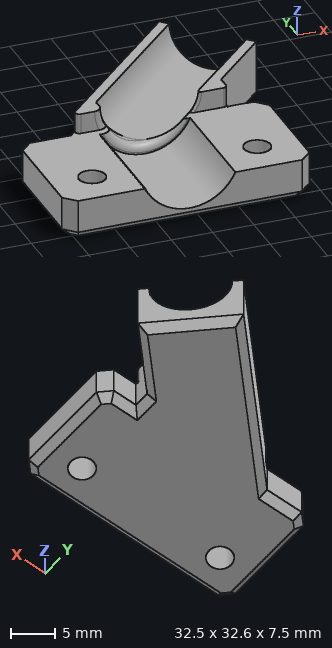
import cadquery as cq
import math

plate_width = 30.0
plate_depth = 15.0
plate_height = 5.0
total_height = 7.5
corner_cut = 1.4
bottom_chamfer = 1.0

bore_radius = 6.0
bore_depth = 14.0
throat_radius = 4.72
flare_radius = 1.0

tube_angle = 45.0
tube_width = 12.0
pivot_offset = 0.1
tube_length = 18.7

ear_left = 7.13
ear_right = 25.4
ear_rounding = 0.5
tube_edge_rounding = 0.25

hole_diameter = 3.2
hole_spacing = 20.0
hole_from_front = 4.82

center_x = plate_width / 2
pivot_y = plate_depth + pivot_offset
angle = math.radians(tube_angle)
far = 2 * (plate_width + plate_depth)


def tube_point(along, left):
    """Plan point given along the tube axis and to its left, from the pivot."""
    return (
        center_x + along * math.cos(angle) - left * math.sin(angle),
        pivot_y + along * math.sin(angle) + left * math.cos(angle),
    )


def make_layers():
    """Lower layer up to the plate top, chamfered underneath, and the tube layer above it."""
    left_end = tube_point(tube_length, tube_width / 2)
    right_end = tube_point(tube_length, -tube_width / 2)
    slope = math.tan(angle)
    tube_left_foot = left_end[0] - (left_end[1] - plate_depth) / slope
    ear_top = right_end[1] - (right_end[0] - ear_right) * slope
    outline = [
        (corner_cut, 0),
        (plate_width - corner_cut, 0),
        (plate_width, corner_cut),
        (plate_width, plate_depth - corner_cut),
        (plate_width - corner_cut, plate_depth),
        (ear_right, plate_depth),
        (ear_right, ear_top),
        right_end,
        left_end,
        (tube_left_foot, plate_depth),
        (corner_cut, plate_depth),
        (0, plate_depth - corner_cut),
        (0, corner_cut),
    ]
    solid = cq.Workplane("XY").polyline(outline).close().extrude(total_height)
    solid = solid.faces("<Z").edges().chamfer(bottom_chamfer)

    ears = (
        cq.Workplane("XY")
        .box(ear_right - ear_left, far, total_height, centered=False)
        .edges("|Z and <Y")
        .fillet(ear_rounding)
        .translate((ear_left, plate_depth, plate_height))
    )
    tube_side = (
        cq.Workplane("XY")
        .workplane(offset=plate_height)
        .moveTo(ear_right - ear_rounding, plate_depth + ear_rounding)
        .lineTo(far, plate_depth + ear_rounding)
        .lineTo(far, far)
        .lineTo(ear_right - ear_rounding, far)
        .close()
        .extrude(total_height)
    )
    upper_zone = ears.union(tube_side)
    lower_zone = cq.Workplane("XY").box(far, far, 2 * plate_height)
    return solid.intersect(lower_zone), solid.intersect(upper_zone)


def miter_zone():
    """Space on the tube side of the plane halfway between the throat and tube axes."""
    miter_angle = 90 - (90 - tube_angle) / 2
    return (
        cq.Workplane("XY")
        .box(far, far, far, centered=(False, True, True))
        .rotate((0, 0, 0), (0, 0, 1), miter_angle)
        .translate((center_x, pivot_y, 0))
    )


def flared_passage(mouth_y):
    """Rounded mouth opening at mouth_y, and the throat behind it up to the tube."""
    flare_end = mouth_y + flare_radius
    bend = flare_radius * math.sqrt(0.5)
    mouth_radius = throat_radius + flare_radius
    mouth = (
        cq.Workplane("XY")
        .moveTo(0, mouth_y)
        .lineTo(mouth_radius, mouth_y)
        .threePointArc((mouth_radius - bend, flare_end - bend), (throat_radius, flare_end))
        .lineTo(0, flare_end)
        .close()
        .revolve(360, (0, 0), (0, 1))
        .translate((center_x, 0, total_height))
    )
    throat = (
        cq.Workplane("XZ", origin=(center_x, mouth_y, total_height))
        .circle(throat_radius)
        .extrude(-throat_radius)
        .cut(miter_zone())
    )
    return mouth, throat


def tube_bore():
    """Angled bore, trimmed where it meets the throat."""
    start = tube_point(-throat_radius, 0)
    direction = cq.Vector(math.cos(angle), math.sin(angle), 0)
    bore = cq.Solid.makeCylinder(
        throat_radius, far, cq.Vector(start[0], start[1], total_height), direction
    )
    return cq.Workplane(obj=bore).intersect(miter_zone())


def plate_bore():
    """Straight bore entering from the front of the plate."""
    return (
        cq.Workplane("XZ", origin=(center_x, 0, total_height))
        .circle(bore_radius)
        .extrude(-bore_depth)
    )


def screw_holes():
    """Two vertical holes through the plate, one on each side of the bore."""
    return (
        cq.Workplane("XY")
        .pushPoints([(center_x + side * hole_spacing / 2, hole_from_front) for side in (-1, 1)])
        .circle(hole_diameter / 2)
        .extrude(total_height)
    )


def cut_passages(layer, mouth_y):
    """Cut the flared throat and the angled bore out of one layer."""
    for tool in flared_passage(mouth_y):
        layer = layer.cut(tool)
    return layer.cut(tube_bore())


def round_tube_edge(layer):
    """Blunt the curved edge between the tube bore and the front face of the right ear."""
    edge_x = center_x + throat_radius / math.sin(angle)
    edge_z = (plate_height + total_height) / 2
    edge_finder = cq.selectors.NearestToPointSelector((edge_x, plate_depth, edge_z))
    return layer.edges(edge_finder).fillet(tube_edge_rounding)


lower, upper = make_layers()
lower = cut_passages(lower.cut(plate_bore()), bore_depth).cut(screw_holes())
upper = round_tube_edge(cut_passages(upper, plate_depth))
result = lower.union(upper)